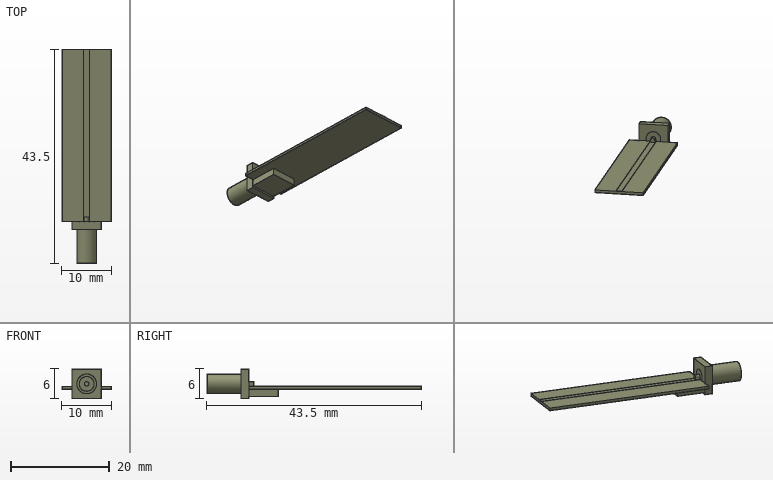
import cadquery as cq

total_length = 43.5
board_length = 35.0
board_width = 10.0

flange_size = 6.0
flange_thickness = 1.6
barrel_diameter = 4.0
leg_length = 6.0
leg_width = 5.85
leg_bottom_z = -2.55

pin_diameter = 0.9
pin_rear_length = 1.0
pin_foot_width = 1.15
dielectric_diameter = 3.0

copper_thickness = 0.065
substrate_thickness = 0.52
trace_width = 1.2

barrel_front_y = board_length - total_length
trace_top_z = -pin_diameter / 2
substrate_top_z = trace_top_z - copper_thickness
substrate_bottom_z = substrate_top_z - substrate_thickness
ground_bottom_z = substrate_bottom_z - copper_thickness


def slab(width, start_y, end_y, bottom_z, top_z):
    """Box centered on X between the given Y and Z limits."""
    return cq.Workplane("XY").box(
        width, end_y - start_y, top_z - bottom_z, centered=(True, False, False)
    ).translate((0, start_y, bottom_z))


def rod(diameter, start_y, end_y):
    """Cylinder on the connector axis between two Y positions."""
    return (
        cq.Workplane("XZ", origin=(0, start_y, 0))
        .circle(diameter / 2)
        .extrude(start_y - end_y)
    )


def make_housing():
    """Flange with front barrel, rear support leg and a through bore."""
    flange = slab(flange_size, -flange_thickness, 0, -flange_size / 2, flange_size / 2)
    barrel = rod(barrel_diameter, barrel_front_y, -flange_thickness)
    leg = slab(leg_width, 0, leg_length, leg_bottom_z, ground_bottom_z)
    bore = rod(dielectric_diameter, barrel_front_y, 0)
    return flange.union(barrel).cut(bore).union(leg)


def make_dielectric():
    """Insulating sleeve that fills the housing bore around the pin."""
    sleeve = rod(dielectric_diameter, barrel_front_y, 0)
    return sleeve.cut(rod(pin_diameter, barrel_front_y, 0))


def make_pin():
    """Center pin with a flared foot that rests on the trace behind the flange."""
    shaft = rod(pin_diameter, barrel_front_y, pin_rear_length)
    half_diameter = pin_diameter / 2
    half_foot = pin_foot_width / 2
    foot = (
        cq.Workplane("XZ")
        .moveTo(-half_diameter, 0)
        .lineTo(half_diameter, 0)
        .lineTo(half_foot, trace_top_z)
        .lineTo(-half_foot, trace_top_z)
        .close()
        .extrude(-pin_rear_length)
    )
    return shaft.union(foot)


def make_substrate():
    """Insulating core of the circuit board."""
    return slab(board_width, 0, board_length, substrate_bottom_z, substrate_top_z)


def make_trace():
    """Copper strip along the middle of the board's upper face."""
    return slab(trace_width, 0, board_length, substrate_top_z, trace_top_z)


def make_ground_plane():
    """Copper layer that covers the board's lower face."""
    return slab(board_width, 0, board_length, ground_bottom_z, substrate_bottom_z)


housing = make_housing()
dielectric = make_dielectric()
pin = make_pin()
substrate = make_substrate()
trace = make_trace()
ground_plane = make_ground_plane()

result = cq.Compound.makeCompound([
    housing.val(),
    dielectric.val(),
    pin.val(),
    substrate.val(),
    trace.val(),
    ground_plane.val(),
])